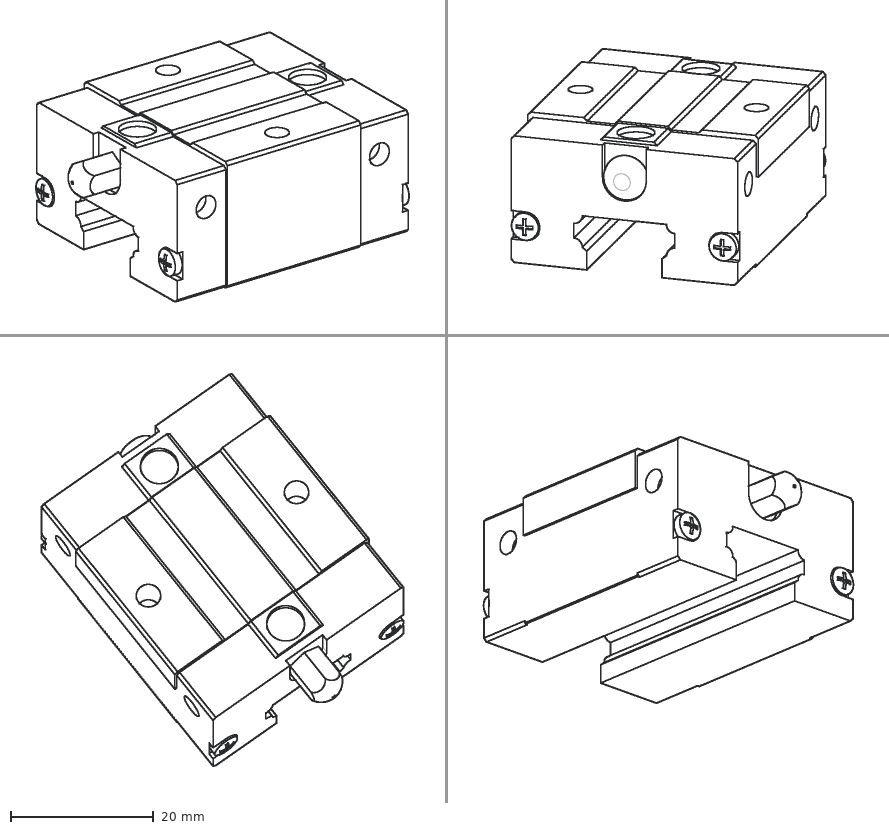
import cadquery as cq
import math


body_width = 34.0
body_height = 19.5
body_length = 23.15
edge_chamfer = 0.45
groove_depth = 0.45
ridge_half_width = 3.7
pad_inner_x = 8.7
step_z = 13.4

end_width = 33.35
end_height = 18.75
end_ridge_height = 19.2
block_end_y = 17.95
plate_end_y = 20.05

lip_half_width = 5.55
lip_top_z = 2.8
slot_half_width = 6.2
track_half_width = 7.42
track_z = 5.65
track_half_height = 1.1
ball_radius = track_half_width - slot_half_width

pad_hole_x = 12.95
port_hole_y = 15.05
port_hole_z = 13.45
port_hole_depth = 2.35
hole_diameter = 3.4
pad_hole_depth = 6.0
hole_tip_angle = 118
oil_port_diameter = 5.3
oil_port_depth = 0.8
oil_port_y = 14.75

pocket_depth = 0.95
pocket_floor_y = plate_end_y - pocket_depth
fitting_z = 14.0
fitting_pocket_radius = 3.2
hex_across_flats = 4.95
nipple_tip_y = 26.05
nipple_radius = 3.05
nipple_hole_diameter = 0.43
nipple_hole_depth = 0.45
plug_tip_y = 21.25
plug_rim = 0.15
plug_rounding = plug_tip_y - pocket_floor_y - plug_rim

screw_x = 14.55
screw_z = 5.55
screw_pocket_radius = 2.105
head_radius = 2.0
head_edge_y = plate_end_y + 0.25
head_top_y = plate_end_y + 0.6
cross_length = 2.4
cross_width = 0.45
cross_depth = 0.45


def along_y(outline, start_y, end_y):
    """Solid from an X-Z outline, reaching from start_y to end_y."""
    return outline.extrude(start_y - end_y).translate((0, start_y, 0))


def box(x_range, y_range, z_range):
    size = [high - low for low, high in (x_range, y_range, z_range)]
    corner = (x_range[0], y_range[0], z_range[0])
    return cq.Workplane("XY").box(*size, centered=False).translate(corner)


def chamfered_bar(width, height, half_length):
    bar = box((-width / 2, width / 2), (-half_length, half_length), (0, height))
    return bar.edges("|Y").chamfer(edge_chamfer)


def ridge(top_z, half_length):
    """Middle ridge with sides sloping at 45 degrees into the block below."""
    foot = ridge_half_width + groove_depth
    outline = cq.Workplane("XZ").polyline([
        (-foot, top_z - groove_depth),
        (foot, top_z - groove_depth),
        (ridge_half_width, top_z),
        (-ridge_half_width, top_z),
    ]).close()
    return along_y(outline, -half_length, half_length)


def steel_body():
    half_length = body_length / 2
    body = chamfered_bar(body_width, body_height, half_length)
    groove_z = body_height - groove_depth
    groove = cq.Workplane("XZ").polyline([
        (ridge_half_width, body_height),
        (ridge_half_width + groove_depth, groove_z),
        (pad_inner_x - groove_depth, groove_z),
        (pad_inner_x, body_height),
    ]).close()
    groove = along_y(groove, -half_length, half_length)
    set_back = box((-body_width / 2, -end_width / 2), (-half_length, half_length), (0, step_z))
    return body.cut(groove).cut(groove.mirror("YZ")).cut(set_back)


def end_sections():
    """End blocks and plates at both ends, without the space of the steel body."""
    ends = chamfered_bar(end_width, end_height, plate_end_y)
    ends = ends.union(ridge(end_ridge_height, block_end_y))
    body_space = box(
        (-body_width, body_width),
        (-body_length / 2, body_length / 2),
        (0, body_height),
    )
    return ends.cut(body_space)


def rail_slot():
    """Half of the slot outline is drawn at +X, then mirrored."""
    track_bottom = track_z - track_half_height
    track_top = track_z + track_half_height
    bulge = ball_radius * math.sqrt(0.5)
    half = (
        cq.Workplane("XZ")
        .lineTo(lip_half_width, 0)
        .lineTo(lip_half_width, lip_top_z)
        .lineTo(slot_half_width, track_bottom - ball_radius)
        .threePointArc(
            (track_half_width - bulge, track_bottom - ball_radius + bulge),
            (track_half_width, track_bottom),
        )
        .lineTo(track_half_width, track_top)
        .threePointArc(
            (track_half_width - bulge, track_top + ball_radius - bulge),
            (slot_half_width, track_top + ball_radius),
        )
        .lineTo(0, track_top + ball_radius)
        .close()
    )
    slot = along_y(half, -plate_end_y, plate_end_y)
    return slot.union(slot.mirror("YZ"))


def pad_hole(x):
    """Blind drilled hole with a conical bottom."""
    radius = hole_diameter / 2
    tip = radius / math.tan(math.radians(hole_tip_angle / 2))
    floor_z = body_height - pad_hole_depth
    profile = cq.Workplane("XZ").polyline([
        (0, body_height),
        (radius, body_height),
        (radius, floor_z),
        (0, floor_z - tip),
    ]).close()
    return profile.revolve(360, (0, 0, 0), (0, 1, 0)).translate((x, 0, 0))


def oil_port(y):
    port = cq.Workplane("XY").circle(oil_port_diameter / 2).extrude(oil_port_depth)
    return port.translate((0, y, end_ridge_height - oil_port_depth))


def side_port(side, y):
    port = cq.Workplane("YZ").circle(hole_diameter / 2).extrude(-side * port_hole_depth)
    return port.translate((side * end_width / 2, y, port_hole_z))


def fitting_pocket():
    """U-shaped pocket in the -Y end plate, open at the top."""
    bottom = cq.Workplane("XZ").center(0, fitting_z).circle(fitting_pocket_radius)
    bottom = along_y(bottom, -plate_end_y, -pocket_floor_y)
    mouth = box(
        (-fitting_pocket_radius, fitting_pocket_radius),
        (-plate_end_y, -pocket_floor_y),
        (fitting_z, end_height),
    )
    return bottom.union(mouth)


def screw_pocket():
    """Pocket at the -Y, +X corner, open towards the side."""
    inner = cq.Workplane("XZ").center(screw_x, screw_z).circle(screw_pocket_radius)
    inner = along_y(inner, -plate_end_y, -pocket_floor_y)
    mouth = box(
        (screw_x, end_width / 2),
        (-plate_end_y, -pocket_floor_y),
        (screw_z - screw_pocket_radius, screw_z + screw_pocket_radius),
    )
    outside = box(
        (end_width / 2, body_width / 2 + screw_pocket_radius),
        (-plate_end_y, -pocket_floor_y),
        (0, end_height),
    )
    return inner.union(mouth).cut(outside)


def screw_head():
    """Domed head of the -Y, +X screw with its cross recess."""
    dome_height = head_top_y - head_edge_y
    dome_radius = (head_radius**2 + dome_height**2) / (2 * dome_height)
    half_angle = math.asin(head_radius / dome_radius) / 2
    dome_middle = (
        dome_radius * math.sin(half_angle),
        -head_top_y + dome_radius * (1 - math.cos(half_angle)),
    )
    head = (
        cq.Workplane("XY")
        .moveTo(0, -pocket_floor_y)
        .lineTo(head_radius, -pocket_floor_y)
        .lineTo(head_radius, -head_edge_y)
        .threePointArc(dome_middle, (0, -head_top_y))
        .close()
        .revolve(360, (0, 0, 0), (0, 1, 0))
    )
    for length, width in ((cross_length, cross_width), (cross_width, cross_length)):
        arm = cq.Workplane("XZ").rect(length, width)
        head = head.cut(along_y(arm, -head_top_y, cross_depth - head_top_y))
    return head.translate((screw_x, 0, screw_z))


def grease_nipple():
    """Hexagonal nipple with a ball-shaped end on the -Y plate."""
    across_corners = hex_across_flats / math.cos(math.radians(30))
    hexagon = cq.Workplane("XZ").transformed(rotate=(0, 0, 30)).polygon(6, across_corners)
    hole_radius = nipple_hole_diameter / 2
    centre_y = math.sqrt(nipple_radius**2 - hole_radius**2) - nipple_tip_y
    apex_y = centre_y - nipple_radius
    nipple = along_y(hexagon, apex_y, -pocket_floor_y)
    bend = nipple_radius * math.sqrt(0.5)
    rounded = (
        cq.Workplane("XY")
        .moveTo(0, -pocket_floor_y)
        .lineTo(nipple_radius, -pocket_floor_y)
        .lineTo(nipple_radius, centre_y)
        .threePointArc((bend, centre_y - bend), (0, apex_y))
        .close()
        .revolve(360, (0, 0, 0), (0, 1, 0))
    )
    hole = cq.Workplane("XZ").circle(hole_radius)
    hole = along_y(hole, apex_y, nipple_hole_depth - nipple_tip_y)
    return nipple.intersect(rounded).cut(hole).translate((0, 0, fitting_z))


def plug():
    """Round plug with a rolled-over edge filling the +Y pocket."""
    disc = cq.Workplane("XZ").circle(fitting_pocket_radius)
    disc = along_y(disc, pocket_floor_y, plug_tip_y)
    return disc.faces(">Y").edges().fillet(plug_rounding).translate((0, 0, fitting_z))


result = steel_body()
result = result.union(end_sections())
result = result.cut(rail_slot())

for side in (-1, 1):
    result = result.cut(pad_hole(side * pad_hole_x))
    for end in (-1, 1):
        result = result.cut(side_port(side, end * port_hole_y))
for end in (-1, 1):
    result = result.cut(oil_port(end * oil_port_y))

for pocket in (fitting_pocket(), screw_pocket(), screw_pocket().mirror("YZ")):
    result = result.cut(pocket).cut(pocket.mirror("XZ"))

for head in (screw_head(), screw_head().mirror("YZ")):
    result = result.union(head).union(head.mirror("XZ"))
result = result.union(grease_nipple()).union(plug())